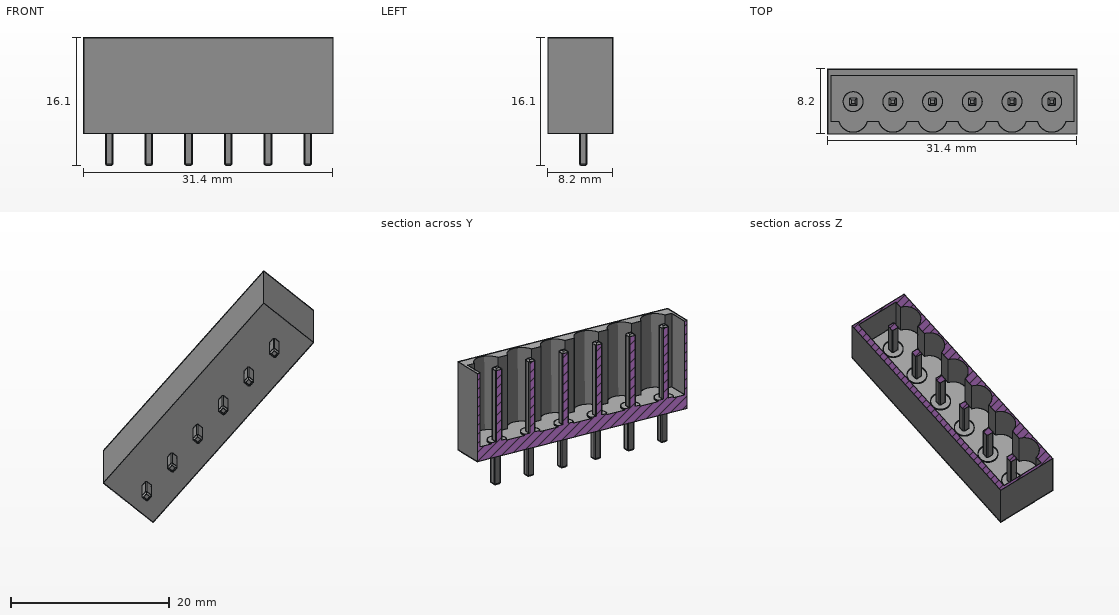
import cadquery as cq

housing_length = 31.4
housing_width = 8.2
housing_height = 12.1

end_wall = 0.4
back_wall = 0.82
front_wall = 1.6
floor_thickness = 2.0

contact_count = 6
contact_row_length = 25.0
contact_pitch = contact_row_length / (contact_count - 1)

scallop_radius = 1.85
scallop_wall = 0.25

boss_diameter = 2.5
boss_height = 0.15

pin_width = 0.97
pin_edge_chamfer = 0.13
pin_tip_chamfer = 0.25
pin_top = housing_height
tail_length = 4.02
tail_offset = -0.35
tail_tip_chamfer = 0.22

contact_row = [
    (index * contact_pitch - contact_row_length / 2, 0) for index in range(contact_count)
]


def make_housing():
    """Rectangular block with its underside on Z = 0."""
    return cq.Workplane("XY").box(
        housing_length, housing_width, housing_height, centered=(True, True, False)
    )


def make_cavity():
    """Rectangular pocket with one scallop per contact along its front side."""
    cavity_depth = housing_height - floor_thickness
    cavity_length = housing_length - 2 * end_wall
    cavity_width = housing_width - back_wall - front_wall
    cavity_centre_y = (front_wall - back_wall) / 2
    scallop_centre_y = -housing_width / 2 + scallop_wall + scallop_radius

    floor = cq.Workplane("XY").workplane(offset=floor_thickness)
    pocket = floor.center(0, cavity_centre_y).rect(cavity_length, cavity_width).extrude(cavity_depth)
    scallops = (
        floor.center(0, scallop_centre_y)
        .pushPoints(contact_row)
        .circle(scallop_radius)
        .extrude(cavity_depth)
    )
    return pocket.union(scallops)


def make_bosses():
    """Low round pads on the cavity floor, one under each contact."""
    return (
        cq.Workplane("XY")
        .workplane(offset=floor_thickness)
        .pushPoints(contact_row)
        .circle(boss_diameter / 2)
        .extrude(boss_height)
    )


def make_pin(bottom, top, tip_face, tip_chamfer):
    """Square pin with bevelled long edges and a four-sided taper at the chosen end."""
    blank = (
        cq.Workplane("XY").workplane(offset=bottom).rect(pin_width, pin_width).extrude(top - bottom)
    )
    tapered = blank.faces(tip_face).chamfer(tip_chamfer)
    bevelled = blank.edges("|Z").chamfer(pin_edge_chamfer)
    return tapered.intersect(bevelled)


result = make_housing().cut(make_cavity()).union(make_bosses())

mating_pin = make_pin(0, pin_top, ">Z", pin_tip_chamfer)
solder_tail = make_pin(-tail_length, floor_thickness, "<Z", tail_tip_chamfer)

for x, y in contact_row:
    result = result.union(mating_pin.translate((x, y, 0)))
    result = result.union(solder_tail.translate((x, y + tail_offset, 0)))